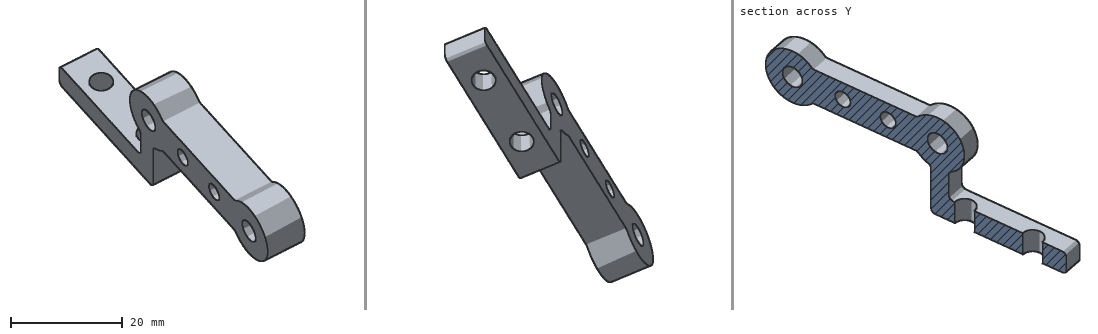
import cadquery as cq
import math

width = 8.0
boss_radius = 6.0
boss_spacing = 32.0
boss_hole_diameter = 4.3
link_height = 8.0
link_hole_diameter = 3.3
link_hole_spacing = 10.0
link_hole_shift_x = -0.1
link_hole_shift_z = 0.15
foot_length = 30.0
foot_height = 5.0
foot_hole_diameter = 4.3
foot_hole_spacing = 15.0
foot_hole_end_distance = 7.5
stem_thickness = 4.0
overall_length = 66.5
overall_height = 22.65
edge_radius = 1.0

boss_z = overall_height - boss_radius
far_boss_x = overall_length - boss_radius
near_boss_x = far_boss_x - boss_spacing
link_middle_x = (near_boss_x + far_boss_x) / 2
stem_x = foot_length - stem_thickness


def block(x_min, x_max, z_min, z_max):
    """Full-width rectangular block between the given X and Z limits."""
    return cq.Workplane("XY").box(
        x_max - x_min, width, z_max - z_min, centered=(False, True, False)
    ).translate((x_min, 0, z_min))


def cylinder_along_y(x, z, radius):
    """Full-width cylinder, used for bosses and for the holes through them."""
    return cq.Workplane("XZ").center(x, z).circle(radius).extrude(width / 2, both=True)


def circle_rise(offset):
    """Half chord of the boss circle at a given distance from its centre."""
    return math.sqrt(boss_radius**2 - offset**2)


def build_body():
    """Foot, stem, link and bosses joined with sharp corners."""
    body = block(0, foot_length, 0, foot_height)
    body = body.union(block(stem_x, foot_length, 0, boss_z))
    body = body.union(
        block(near_boss_x, far_boss_x, boss_z - link_height / 2, boss_z + link_height / 2)
    )
    for x in (near_boss_x, far_boss_x):
        body = body.union(cylinder_along_y(x, boss_z, boss_radius))
    return body


def profile_corners():
    """X, Z positions of the corners to be rounded."""
    corners = [
        (0, 0),
        (0, foot_height),
        (foot_length, 0),
        (stem_x, foot_height),
    ]
    for x in (stem_x, foot_length):
        corners.append((x, boss_z - circle_rise(x - near_boss_x)))
    link_reach = circle_rise(link_height / 2)
    for x in (near_boss_x + link_reach, far_boss_x - link_reach):
        for z in (boss_z - link_height / 2, boss_z + link_height / 2):
            corners.append((x, z))
    return corners


def round_corners(body):
    for x, z in profile_corners():
        corner_edge = cq.selectors.NearestToPointSelector((x, 0, z))
        body = body.edges("|Y").edges(corner_edge).fillet(edge_radius)
    return body


def cut_upper_holes(body):
    """Pivot holes in the bosses and the pair of smaller holes in the link."""
    for x in (near_boss_x, far_boss_x):
        body = body.cut(cylinder_along_y(x, boss_z, boss_hole_diameter / 2))
    for side in (-1, 1):
        x = link_middle_x + link_hole_shift_x + side * link_hole_spacing / 2
        body = body.cut(cylinder_along_y(x, boss_z + link_hole_shift_z, link_hole_diameter / 2))
    return body


def cut_foot_holes(body):
    """Mounting holes vertically through the foot."""
    for x in (foot_hole_end_distance, foot_hole_end_distance + foot_hole_spacing):
        hole = cq.Workplane("XY").center(x, 0).circle(foot_hole_diameter / 2).extrude(foot_height)
        body = body.cut(hole)
    return body


result = cut_foot_holes(cut_upper_holes(round_corners(build_body())))